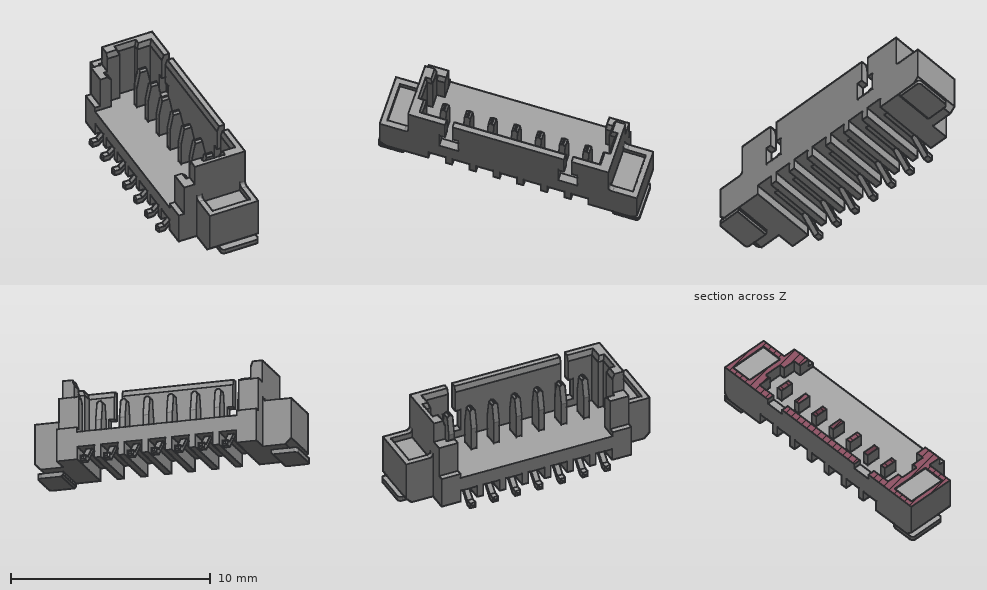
import cadquery as cq


housing_length = 10.52
housing_depth = 3.7
housing_height = 4.51
lower_step_depth = 0.3
lower_step_height = 1.69
upper_step_depth = 0.9
upper_step_height = 3.38

floor_height = 1.44
end_wall = 0.62
rear_wall = 0.41
key_depth = 0.29
key_front = 1.6
key_rear = 2.58
lead_in_width = 0.11
lead_in_height = 0.3
front_opening_length = 8.44
shoulder_chamfer = 0.2

window_offset = 3.12
window_length = 1.0
window_bottom = 1.85
window_top = 3.05
slot_length = 0.4

ear_reach = 1.5
ear_depth = 2.7
ear_height = 2.4
ear_wall = 0.3
ear_pocket_depth = 0.3
ear_chamfer = 0.3
ear_root_radius = 0.2

overall_length = 13.7
tab_length = 1.37
tab_width = 2.05
tab_thickness = 0.25
tab_corner_radius = 0.18
tab_edge_chamfer = 0.1

pin_count = 7
pin_pitch = 1.25
pin_width = 0.3
blade_center = 2.41
blade_depth = 0.75
blade_tip_depth = 0.35
blade_shoulder = 2.69
blade_tip = 3.71
tip_chamfer = 0.11
tail_thickness = 0.29
foot_end = 0.51
foot_bend = 0.11
foot_chamfer = 0.08
tail_slot_width = 0.9
tail_slot_height = 0.66

half_housing = housing_length / 2
half_opening = front_opening_length / 2
half_cavity = half_housing - end_wall
ear_length = housing_length + 2 * ear_reach
ear_front = housing_depth - ear_depth
pin_positions = [(index - (pin_count - 1) / 2) * pin_pitch for index in range(pin_count)]


def block(x_range, y_range, z_range):
    """Axis-aligned box between pairs of limits."""
    size = [high - low for low, high in (x_range, y_range, z_range)]
    corner = (x_range[0], y_range[0], z_range[0])
    return cq.Workplane("XY").box(*size, centered=False).translate(corner)


def both_ends(shape):
    """The shape together with its mirror image at the other end of the connector."""
    return [shape, shape.mirror("YZ")]


def stepped_block():
    """Main block, whose front descends in two steps."""
    profile = [
        (0, 0),
        (housing_depth, 0),
        (housing_depth, housing_height),
        (upper_step_depth, housing_height),
        (upper_step_depth, upper_step_height),
        (lower_step_depth, upper_step_height),
        (lower_step_depth, lower_step_height),
        (0, lower_step_height),
    ]
    return cq.Workplane("YZ").polyline(profile).close().extrude(half_housing, both=True)


def cavity_outline(growth):
    """Cavity plan with a key groove at each end, enlarged by growth on every side."""
    front = upper_step_depth - growth
    rear = housing_depth - rear_wall + growth
    side = half_cavity + growth
    key_side = side + key_depth
    right = [
        (side, front),
        (side, key_front - growth),
        (key_side, key_front - growth),
        (key_side, key_rear + growth),
        (side, key_rear + growth),
        (side, rear),
    ]
    left = [(-x, y) for x, y in reversed(right)]
    return right + left


def cavity():
    """Straight pocket above the floor, flared by a lead-in at the rim."""
    rim_start = housing_height - lead_in_height
    pocket = (
        cq.Workplane("XY", origin=(0, 0, floor_height))
        .polyline(cavity_outline(0)).close()
        .extrude(housing_height - floor_height)
    )
    lead_in = (
        cq.Workplane("XY", origin=(0, 0, rim_start))
        .polyline(cavity_outline(0)).close()
        .workplane(offset=lead_in_height)
        .polyline(cavity_outline(lead_in_width)).close()
        .loft(ruled=True, combine=True)
    )
    return pocket.union(lead_in)


def front_opening():
    """Gap between the two front shoulders."""
    return block((-half_opening, half_opening), (0, upper_step_depth), (floor_height, housing_height))


def shoulder_bevel():
    """Wedge that slopes the rear top edge of the left shoulder towards the cavity."""
    edge = upper_step_depth
    top = upper_step_height
    wedge = [(edge, top), (edge - shoulder_chamfer, top), (edge, top - shoulder_chamfer)]
    return (
        cq.Workplane("YZ", origin=(-half_cavity, 0, 0))
        .polyline(wedge).close()
        .extrude(half_cavity - half_opening)
    )


def latch_window():
    """Left window through the rear wall and its narrow slot up to the rim."""
    through_wall = (housing_depth - rear_wall, housing_depth)
    x_window = (-window_offset - window_length / 2, -window_offset + window_length / 2)
    x_slot = (-window_offset - slot_length / 2, -window_offset + slot_length / 2)
    window = block(x_window, through_wall, (window_bottom, window_top))
    slot = block(x_slot, through_wall, (window_top, housing_height))
    return window.union(slot)


def ear():
    """Left end block with an open pocket on top and a bevelled lower edge."""
    outer = -ear_length / 2
    root = -half_housing
    body = block((outer, root), (ear_front, housing_depth), (0, ear_height))
    body = body.edges("<X and <Z").chamfer(ear_chamfer)
    pocket = block(
        (outer + ear_wall, root),
        (ear_front + ear_wall, housing_depth - ear_wall),
        (ear_height - ear_pocket_depth, ear_height),
    )
    body = body.cut(pocket)
    for strip_front in (ear_front, housing_depth - ear_wall):
        body = body.union(ear_root_fillet(strip_front))
    return body


def ear_root_fillet(strip_front):
    """Concave fillet where a side wall of the left ear meets the main block."""
    root = -half_housing
    strip = block(
        (root - ear_root_radius, root),
        (strip_front, strip_front + ear_wall),
        (ear_height, ear_height + ear_root_radius),
    )
    round_cut = (
        cq.Workplane("XZ", origin=(root - ear_root_radius, 0, ear_height + ear_root_radius))
        .circle(ear_root_radius)
        .extrude(-housing_depth)
    )
    return strip.cut(round_cut)


def tail_slot(x_center):
    """Slot under the floor that clears one pin tail."""
    half = tail_slot_width / 2
    return block((x_center - half, x_center + half), (0, housing_depth), (0, tail_slot_height))


def contact_pin(x_center):
    """Blade standing in the cavity, joined under the floor surface to a sloping tail and a foot."""
    foot_bottom = -tab_thickness
    foot_top = foot_bottom + tail_thickness
    arm_bottom = tail_slot_height
    arm_top = arm_bottom + tail_thickness
    slope_front = -foot_bend
    slope_rear = slope_front + arm_top - foot_top
    blade_front = blade_center - blade_depth / 2
    blade_rear = blade_center + blade_depth / 2
    profile = [
        (-foot_end, foot_bottom),
        (slope_front, foot_bottom),
        (slope_rear, arm_bottom),
        (blade_rear, arm_bottom),
        (blade_rear, blade_shoulder),
        (blade_center + blade_tip_depth / 2, blade_tip),
        (blade_center - blade_tip_depth / 2, blade_tip),
        (blade_front, blade_shoulder),
        (blade_front, arm_top),
        (slope_rear, arm_top),
        (slope_front, foot_top),
        (-foot_end, foot_top),
    ]
    pin = cq.Workplane("YZ").polyline(profile).close().extrude(pin_width / 2, both=True)
    pin = pin.faces("<Y").chamfer(foot_chamfer)
    pin = pin.faces(">Z").edges("|Y").chamfer(tip_chamfer)
    return pin.translate((x_center, 0, 0))


def solder_tab():
    """Left tab under the ear, rounded at its outer corners and bevelled under its inner edge."""
    outer = -overall_length / 2
    tab = block(
        (outer, outer + tab_length),
        (housing_depth - tab_width, housing_depth),
        (-tab_thickness, 0),
    )
    tab = tab.edges("<X and |Z").fillet(tab_corner_radius)
    return tab.edges(">X and <Z").chamfer(tab_edge_chamfer)


pins = [contact_pin(x_center) for x_center in pin_positions]
tabs = both_ends(solder_tab())

housing = stepped_block().cut(cavity()).cut(front_opening())
for end_ear in both_ends(ear()):
    housing = housing.union(end_ear)
for end_cut in both_ends(shoulder_bevel()) + both_ends(latch_window()):
    housing = housing.cut(end_cut)
for x_center in pin_positions:
    housing = housing.cut(tail_slot(x_center))
for pin in pins:
    housing = housing.cut(pin)

bodies = [housing] + pins + tabs
result = cq.Compound.makeCompound([body.val() for body in bodies])